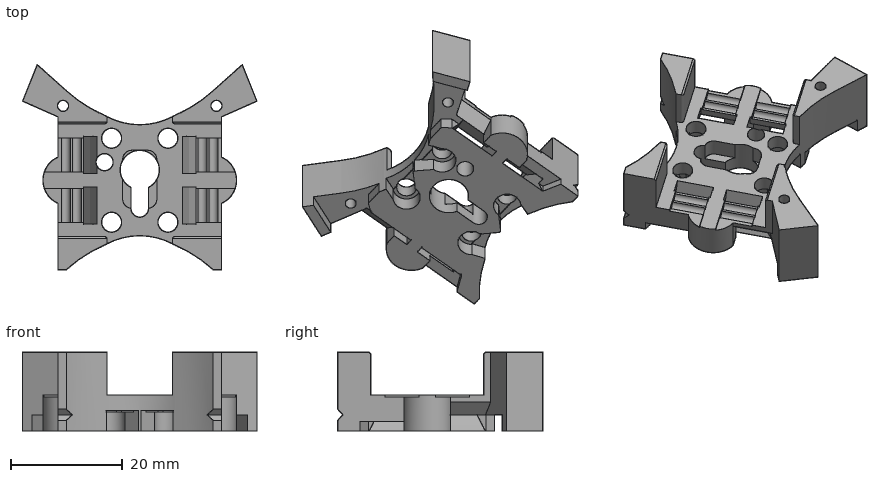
import cadquery as cq
import math

height = 14.1
plate_top = 6.5
half_body = 14.6

rim_edge_y = 9.93
rim_joint_x = 6.3
rim_joint_y = 11.6
leg_arc_x = 9.7
leg_arc_y = 13.4
leg_end_x = 13.1
leg_end_y = 16.0
rear_tip_x = 18.3
rear_tip_y = 20.65
arm_corner_x = 20.95
arm_corner_y = 14.1
arm_root_y = 11.3
arm_slope = (arm_corner_y - arm_root_y) / (arm_corner_x - half_body)

leg_inner_x = 5.82
leg_inner_y = 10.05
leg_edge_break = 0.35
leg_corner_radius = 0.5
notch_z = 2.95
notch_depth = 0.92
notch_half_height = 1.0

tab_radius = 4.52
tab_center_x = 12.77
tab_half_chord = math.sqrt(tab_radius**2 - (half_body - tab_center_x) ** 2)

screw_x = 5.03
screw_y = 7.5
screw_diameter = 3.5
arm_hole_x = 13.7
arm_hole_y = 13.28
arm_hole_diameter = 1.93
pin_hole_x = -6.3
pin_hole_y = 3.22
pin_hole_diameter = 3.0

key_center_y = 1.85
key_diameter = 6.95
slot_width = 3.1
slot_end_y = -6.58
seat_width = 6.1
seat_rear_y = 5.35
seat_front_y = -5.03
seat_corner = 1.68
seat_floor_z = 2.95

track_inner_y = 1.45
track_outer_y = 7.6
track_depth = 0.35
duct_inner_x = 7.62
duct_width = 2.4
duct_margin = 0.25
duct_wall_z = 4.77
duct_flare_z = 5.03
duct_bend_x = 8.88
duct_bend_z = 3.55
duct_fold_x = 10.65
duct_fold_z = 0.95
duct_foot_x = 11.45
duct_foot_y = 10.4
groove_radius = 0.8
groove_xs = (11.22, 13.2)
track_floor_z = plate_top - track_depth
bar_inner_x = duct_inner_x + duct_width

rear_opening_z = 2.95
front_opening_z = 1.7
core_bevel_y = 10.45
core_end_x = 10.25
core_end_y = 12.0
arm_foot_length = 1.9
bevel_top_z = 5.2
bevel_inner_x = 12.6

pocket_top_z = 3.7
pocket_inner_top_z = 3.48
pocket_step_y = 9.0
pocket_radius = 2.43
keel_half_width = 0.2
pocket_outer_x = 5.9

beyond = 25.13


def both_sides(tool):
    return tool.union(tool.mirror("YZ"))


def front_and_rear(tool):
    return tool.union(tool.mirror("XZ"))


def block(x0, x1, y0, y1, z0, z1):
    return cq.Workplane("XY").box(x1 - x0, y1 - y0, z1 - z0, centered=False).translate((x0, y0, z0))


def upright_rod(x, y, diameter, rod_height=height):
    return cq.Workplane("XY").center(x, y).circle(diameter / 2).extrude(rod_height)


def rim_edge(outline, side, start_x):
    """Add the concave edge on the +Y (1) or -Y (-1) side, starting at the leg end of sign start_x."""
    return (
        outline.threePointArc(
            (start_x * leg_arc_x, side * leg_arc_y), (start_x * rim_joint_x, side * rim_joint_y)
        )
        .threePointArc((0, side * rim_edge_y), (-start_x * rim_joint_x, side * rim_joint_y))
        .threePointArc(
            (-start_x * leg_arc_x, side * leg_arc_y), (-start_x * leg_end_x, side * leg_end_y)
        )
    )


def make_body():
    outline = cq.Workplane("XY").moveTo(-leg_end_x, -leg_end_y)
    outline = (
        rim_edge(outline, -1, -1)
        .lineTo(half_body, -leg_end_y)
        .lineTo(half_body, arm_root_y)
        .lineTo(arm_corner_x, arm_corner_y)
        .lineTo(rear_tip_x, rear_tip_y)
        .lineTo(leg_end_x, leg_end_y)
    )
    outline = (
        rim_edge(outline, 1, 1)
        .lineTo(-rear_tip_x, rear_tip_y)
        .lineTo(-arm_corner_x, arm_corner_y)
        .lineTo(-half_body, arm_root_y)
        .lineTo(-half_body, -leg_end_y)
    )
    tab = upright_rod(tab_center_x, 0, 2 * tab_radius, plate_top)
    return outline.close().extrude(height).union(both_sides(tab))


def leg_clearance():
    """Cross-shaped space above the plate that leaves the four legs standing."""
    across = block(-beyond, beyond, -leg_inner_y, leg_inner_y, plate_top, height)
    along = block(-leg_inner_x, leg_inner_x, -beyond, beyond, plate_top, height)
    cross = across.union(along)
    bevel_profile = [
        (leg_inner_y, height),
        (leg_inner_y + leg_edge_break, height),
        (leg_inner_y, height - leg_edge_break),
    ]
    bevel = cq.Workplane("YZ").polyline(bevel_profile).close().extrude(beyond, both=True)
    corner = (
        cq.Workplane("XY", origin=(0, 0, plate_top))
        .moveTo(leg_inner_x, leg_inner_y)
        .lineTo(leg_inner_x + leg_corner_radius, leg_inner_y)
        .radiusArc((leg_inner_x, leg_inner_y + leg_corner_radius), leg_corner_radius)
        .close()
    )
    corner = both_sides(corner.extrude(height - plate_top))
    return cross.union(front_and_rear(bevel)).union(front_and_rear(corner))


def front_notch():
    profile = [
        (-leg_end_y, notch_z - notch_half_height),
        (-leg_end_y + notch_depth, notch_z),
        (-leg_end_y, notch_z + notch_half_height),
    ]
    return cq.Workplane("YZ").polyline(profile).close().extrude(beyond, both=True)


def keyhole():
    head = upright_rod(0, key_center_y, key_diameter)
    slot_center_y = slot_end_y + slot_width / 2
    slot_end = upright_rod(0, slot_center_y, slot_width)
    slot = block(-slot_width / 2, slot_width / 2, slot_center_y, key_center_y, 0, height)
    seat = block(-seat_width / 2, seat_width / 2, seat_front_y, seat_rear_y, seat_floor_z, height)
    return head.union(slot_end).union(slot).union(seat.edges("|Z").fillet(seat_corner))


def strap_track():
    """Shallow track, grooves and slanting duct of the strap at +X, +Y."""
    length = track_outer_y - track_inner_y
    track = block(bar_inner_x, beyond, track_inner_y, track_outer_y, track_floor_z, plate_top)
    grooves = (
        cq.Workplane("XZ", origin=(0, track_outer_y, 0))
        .pushPoints([(x, track_floor_z) for x in groove_xs])
        .circle(groove_radius)
        .extrude(length)
    )
    start_y = track_inner_y - duct_margin
    ramp_profile = [
        (duct_inner_x, plate_top),
        (bar_inner_x, plate_top),
        (bar_inner_x, duct_wall_z),
        (bevel_inner_x, rear_opening_z),
        (bevel_inner_x, 0),
        (duct_foot_x, 0),
        (duct_fold_x, duct_fold_z),
        (duct_bend_x, duct_bend_z),
    ]
    flare_profile = [
        (start_y, 0),
        (start_y, plate_top),
        (track_outer_y + duct_margin, plate_top),
        (track_outer_y + duct_margin, duct_flare_z),
        (duct_foot_y, 0),
    ]
    ramp = cq.Workplane("XZ").polyline(ramp_profile).close().extrude(-beyond)
    flare = cq.Workplane("YZ").polyline(flare_profile).close().extrude(beyond)
    return track.union(grooves).union(ramp.intersect(flare))


def front_opening():
    """Opening at +X, -Y that narrows from the side face towards the duct foot."""
    outline = [
        (duct_foot_x, -tab_half_chord),
        (duct_foot_x, -core_bevel_y),
        (half_body, -core_end_y),
        (half_body, -tab_half_chord),
    ]
    return cq.Workplane("XY").polyline(outline).close().extrude(front_opening_z)


def rear_opening():
    """The rear opening runs out through the concave edge and leaves a foot at the arm end."""
    arm_length = math.hypot(arm_corner_x - half_body, arm_corner_y - arm_root_y)
    shift_x = arm_foot_length * (arm_corner_x - half_body) / arm_length
    shift_y = arm_foot_length * (arm_corner_y - arm_root_y) / arm_length
    outline = [
        (core_end_x, core_end_y),
        (duct_foot_x, core_bevel_y),
        (duct_foot_x, tab_half_chord),
        (arm_corner_x, tab_half_chord),
        (arm_corner_x - shift_x, arm_corner_y - shift_y),
        (rear_tip_x - shift_x, rear_tip_y - shift_y),
        (0, rear_tip_y),
        (0, core_end_y),
    ]
    return cq.Workplane("XY").polyline(outline).close().extrude(rear_opening_z)


def rear_side_bevel():
    """Bevel under the rear bar at +X, ending flush with the extended arm face."""
    profile = [
        (bevel_inner_x, rear_opening_z),
        (half_body, rear_opening_z),
        (half_body, bevel_top_z),
    ]
    wedge = (
        cq.Workplane("XZ", origin=(0, tab_half_chord, 0))
        .polyline(profile)
        .close()
        .extrude(tab_half_chord - arm_root_y)
    )
    arm_side = [
        (half_body, arm_root_y),
        (0, arm_root_y - half_body * arm_slope),
        (0, arm_root_y),
    ]
    return wedge.cut(cq.Workplane("XY").polyline(arm_side).close().extrude(height))


def head_pocket():
    """Screw head pocket at +X, +Y, open to the concave edge, with a lower ceiling further in."""
    round_part = upright_rod(screw_x, screw_y, 2 * pocket_radius, pocket_top_z)
    mouth_outline = [
        (screw_x - pocket_radius, screw_y),
        (keel_half_width, rim_edge_y),
        (keel_half_width, rim_joint_y),
        (pocket_outer_x, rim_joint_y),
        (screw_x + pocket_radius, screw_y),
    ]
    mouth = cq.Workplane("XY").polyline(mouth_outline).close().extrude(pocket_top_z)
    ceiling = block(0, beyond, 0, pocket_step_y, pocket_inner_top_z, pocket_top_z)
    return round_part.union(mouth).cut(ceiling)


result = make_body().cut(leg_clearance()).cut(front_notch()).cut(keyhole())
result = result.cut(both_sides(front_and_rear(head_pocket())))
result = result.cut(both_sides(front_and_rear(strap_track())))
result = result.cut(both_sides(rear_opening()))
result = result.cut(both_sides(front_opening()))
result = result.cut(both_sides(rear_side_bevel()))
result = result.cut(both_sides(front_and_rear(upright_rod(screw_x, screw_y, screw_diameter))))
result = result.cut(both_sides(upright_rod(arm_hole_x, arm_hole_y, arm_hole_diameter)))
result = result.cut(upright_rod(pin_hole_x, pin_hole_y, pin_hole_diameter))